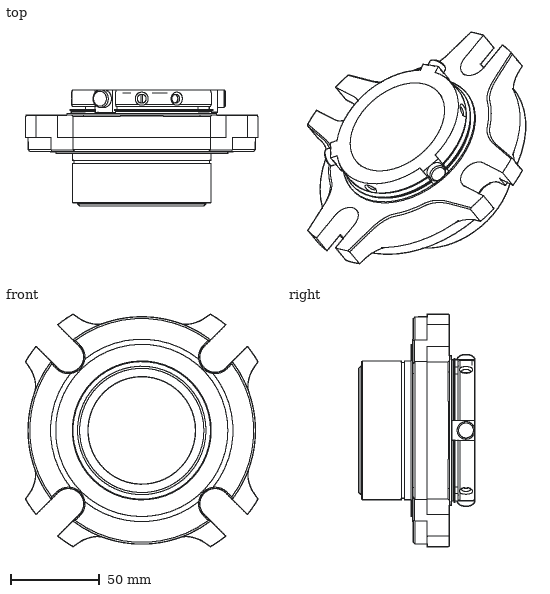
import cadquery as cq
import math

Y_AXIS = ((0, 0, 0), (0, 1, 0))

bore_radius = 30.17
sleeve_radius = 31.74
total_length = 65.3

nose_radius = 36.1
nose_length = 1.7
nose_chamfer = 1.2
spigot_radius = 39.06
spigot_edge_chamfer = 0.4
groove_radius = 38.2
groove_start = 24.0
groove_end = 25.7

pilot_radius = 48.4
pilot_y = 29.5
pad_radius = 51.3
pad_y = 30.2
disc_radius = 64.0
disc_y = 30.6
disc_edge_chamfer = 1.0
ear_front_y = 38.5
ear_back_y = 51.0
ear_back_chamfer = 0.8

overall_half = 65.5
first_ear_angle = 45
ear_count = 4
ear_half_width = 19.0
ear_reach = overall_half * math.sqrt(2) - ear_half_width
ear_end_radius = math.hypot(ear_reach, ear_half_width)
flank_angle = 9.5
flank_root_reach = 39.3
flank_fillet = 9.8
slot_width = 17.1
slot_radius = slot_width / 2
slot_center_reach = 58.4
slot_edge_chamfer = 0.8

lip_radius = 42.1
lip_end = 52.1
seat_radius = 39.72
seat_end = 53.1
flange_radius = 40.5
flange_start = 53.7
flange_end = 54.2

collar_radius = 39.5
collar_start = 55.9
collar_bevel_drop = 0.5
collar_front_bevel = 1.2
collar_back_bevel = 1.7

clip_angles = (0, 120, 240)
clip_width = 11.3
clip_inner_reach = 37.8
clip_outer_reach = 42.7
clip_start = 52.6
screw_y = 60.3
head_diameter = 10.0
head_height = 4.3
head_chamfer = 0.8

set_screw_angles = (60, 90, 180, 300)
slotted_screw_angle = 90
set_screw_diameter = 5.0
set_screw_mouth = 7.6
mouth_depth = 1.3
set_screw_depth = 3.3
driver_slot_width = 1.0
driver_slot_depth = 1.3


def turned(points):
    """Solid of revolution about Y from (radius, y) points."""
    return cq.Workplane("XY").polyline(points).close().revolve(360, *Y_AXIS)


def around_axis(shape, angle):
    """Turn a shape built along +X to an angle from +X towards +Z."""
    return shape.rotate(*Y_AXIS, -angle)


def plate(y_front, y_back):
    """Workplane on the back of a plate; extruding by the thickness reaches y_front."""
    return cq.Workplane("XZ", origin=(0, y_back, 0)), y_back - y_front


def radial(reach, y):
    """Workplane facing outwards along +X; its local x follows Y."""
    return cq.Workplane(cq.Plane(origin=(reach, y, 0), xDir=(0, 1, 0), normal=(1, 0, 0)))


def cone_radius(y):
    """Radius of the 45 degree back of the gland plate."""
    return disc_radius - (y - ear_front_y)


def make_sleeve():
    """Spigot, rear lip, flange, neck and collar turned on one axis."""
    edge = spigot_edge_chamfer
    return turned([
        (bore_radius, 0),
        (nose_radius - nose_chamfer, 0),
        (nose_radius, nose_chamfer),
        (nose_radius, nose_length),
        (spigot_radius - edge, nose_length),
        (spigot_radius, nose_length + edge),
        (spigot_radius, groove_start),
        (groove_radius, groove_start),
        (groove_radius, groove_end),
        (spigot_radius, groove_end),
        (spigot_radius, ear_front_y),
        (lip_radius, ear_front_y),
        (lip_radius, lip_end),
        (seat_radius, lip_end),
        (seat_radius, seat_end),
        (sleeve_radius, seat_end),
        (sleeve_radius, flange_start),
        (flange_radius, flange_start),
        (flange_radius, flange_end),
        (sleeve_radius, flange_end),
        (sleeve_radius, collar_start),
        (collar_radius - collar_bevel_drop, collar_start),
        (collar_radius, collar_start + collar_front_bevel),
        (collar_radius, total_length - collar_back_bevel),
        (collar_radius - collar_bevel_drop, total_length),
        (bore_radius, total_length),
    ])


def make_disc():
    """Stepped front disc of the gland plate."""
    return turned([
        (sleeve_radius, pilot_y),
        (pilot_radius, pilot_y),
        (pilot_radius, pad_y),
        (pad_radius, pad_y),
        (pad_radius, disc_y),
        (disc_radius - disc_edge_chamfer, disc_y),
        (disc_radius, disc_y + disc_edge_chamfer),
        (disc_radius, ear_front_y),
        (sleeve_radius, ear_front_y),
    ])


def ear_prism(y_front, y_back):
    """One ear before slotting, with flanks that spread towards the axis."""
    sheet, thickness = plate(y_front, y_back)
    root_half = ear_half_width + (ear_reach - flank_root_reach) * math.tan(math.radians(flank_angle))
    return (
        sheet.moveTo(flank_root_reach, -root_half)
        .lineTo(ear_reach, -ear_half_width)
        .threePointArc((ear_end_radius, 0), (ear_reach, ear_half_width))
        .lineTo(flank_root_reach, root_half)
        .close()
        .extrude(thickness)
    )


def slot_cutter(y_front, y_back, radius):
    """Open-ended radial bolt slot along +X."""
    sheet, thickness = plate(y_front, y_back)
    return (
        sheet.moveTo(overall_half * 2, -radius)
        .lineTo(slot_center_reach, -radius)
        .threePointArc((slot_center_reach - radius, 0), (slot_center_reach, radius))
        .lineTo(overall_half * 2, radius)
        .close()
        .extrude(thickness)
    )


def make_ears():
    """Conical back of the gland with four ears blended into it."""
    overrun = 1.3
    front = ear_front_y - overrun
    back = ear_back_y + overrun
    body = turned([
        (sleeve_radius, front),
        (cone_radius(front), front),
        (cone_radius(back), back),
        (sleeve_radius, back),
    ])
    for index in range(ear_count):
        body = body.union(around_axis(ear_prism(front, back), first_ear_angle + index * 360 / ear_count))
    roots = [
        edge for edge in body.edges().vals()
        if edge.geomType() not in ("LINE", "CIRCLE") and edge.BoundingBox().ylen > ear_back_y - ear_front_y
    ]
    body = body.newObject(roots).fillet(flank_fillet)
    sheet, thickness = plate(ear_front_y, ear_back_y)
    body = body.intersect(sheet.circle(overall_half * 2).extrude(thickness))
    return body.faces(">Y").edges("not %CIRCLE").chamfer(ear_back_chamfer)


def cut_slots(body):
    """Cut the bolt slots and bevel their rims on the front of the disc."""
    slot = slot_cutter(pilot_y, ear_back_y, slot_radius)
    bevel = slot_cutter(pilot_y, disc_y + slot_edge_chamfer, slot_radius + slot_edge_chamfer)
    bevel = bevel.faces(">Y").chamfer(slot_edge_chamfer)
    for index in range(ear_count):
        angle = first_ear_angle + index * 360 / ear_count
        body = body.cut(around_axis(slot, angle)).cut(around_axis(bevel, angle))
    return body


def make_clip():
    """Clip block on the collar rim with its screw head."""
    block_sheet = radial(clip_inner_reach, (clip_start + total_length) / 2)
    block = block_sheet.rect(total_length - clip_start, clip_width).extrude(clip_outer_reach - clip_inner_reach)
    head = radial(clip_outer_reach, screw_y).circle(head_diameter / 2).extrude(head_height)
    return block.union(head.faces(">X").chamfer(head_chamfer))


def set_screw_cutter():
    """Countersunk blind hole for a set screw."""
    floor = collar_radius - set_screw_depth
    hole = radial(floor, screw_y).circle(set_screw_diameter / 2).extrude(set_screw_depth)
    mouth = (
        radial(collar_radius - mouth_depth, screw_y)
        .circle(set_screw_diameter / 2)
        .workplane(offset=mouth_depth)
        .circle(set_screw_mouth / 2)
        .loft()
    )
    return hole.union(mouth)


def driver_slot_cutter():
    """Screwdriver slot, lying along Y, in the floor of a set-screw hole."""
    floor = collar_radius - set_screw_depth
    sheet = radial(floor - driver_slot_depth, screw_y)
    bar = sheet.rect(set_screw_diameter, driver_slot_width).extrude(driver_slot_depth)
    return bar.intersect(sheet.circle(set_screw_diameter / 2).extrude(driver_slot_depth))


gland = cut_slots(make_disc().union(make_ears()))
result = make_sleeve().union(gland)
for clip_angle in clip_angles:
    result = result.union(around_axis(make_clip(), clip_angle))
for screw_angle in set_screw_angles:
    result = result.cut(around_axis(set_screw_cutter(), screw_angle))
result = result.cut(around_axis(driver_slot_cutter(), slotted_screw_angle))